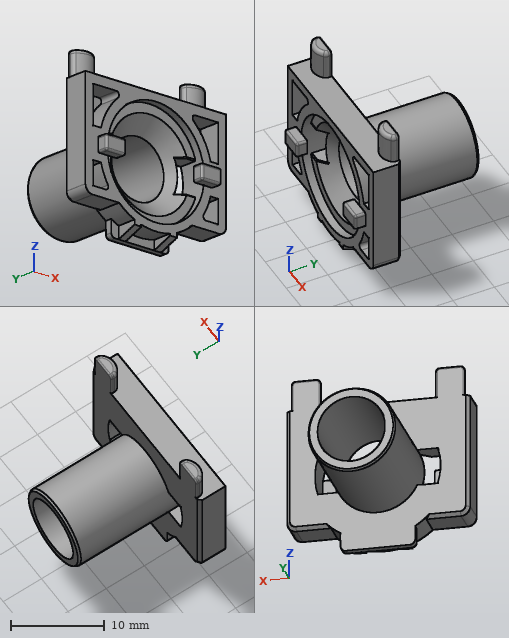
import cadquery as cq
import math


plate_width = 20.24
plate_thickness = 3.45
plate_top = 7.97
plate_bottom = -5.97
plate_corner_radius = 1.02
plate_back_chamfer = 0.4

tube_length = 12.07
tube_radius = 4.82
tube_end_chamfer_length = 0.28
tube_end_chamfer_depth = 0.18
bore_radius = 3.74
ring_radius = 7.97
recess_radius = 6.95
recess_depth = 1.02
funnel_radius = 5.77
funnel_depth = 1.9
window_height = 4.1
window_bevel = 0.15

pocket_outer_x = 8.98
pocket_depth = 2.85
pocket_inner_z = 2.0
upper_pocket_z = 6.77
lower_pocket_z = -4.94
pocket_corner_radius = 0.4
pocket_arc_radius = 8.13

post_top = 11.4
post_width = 3.2
post_depth = 1.5
post_front_radius = 1.93
post_side_radius = 0.81
post_center_x = 7.97
post_top_edge_radius = 0.49
post_back_edge_radius = 0.18

pin_center_x = 6.87
pin_width = 2.85
pin_height = 1.93
pin_length = 1.32
pin_edge_radius = 0.26

tab_width = 8.25
tab_bottom = -8.92
tab_thickness = 0.87
tab_corner_radius = 0.55
rib_width = 1.0
rib_center_x = 2.56
rib_front_bottom = -7.92

plate_front = -plate_thickness
recess_floor = plate_front + recess_depth
sides = (-1, 1)


def box(x_range, y_range, z_range):
    """Box spanning the given (low, high) ranges."""
    lows, highs = zip(x_range, y_range, z_range)
    size = [high - low for low, high in zip(lows, highs)]
    return cq.Workplane("XY").box(*size, centered=False).translate(lows)


def disc(radius, y_start, y_end):
    """Cylinder on the bore axis between two Y positions."""
    return cq.Workplane("XZ", origin=(0, y_start, 0)).circle(radius).extrude(y_start - y_end)


def make_plate():
    half_width = plate_width / 2
    plate = box((-half_width, half_width), (plate_front, 0), (plate_bottom, plate_top))
    plate = plate.edges("|Y and <Z").fillet(plate_corner_radius)
    plate = plate.faces(">Y").edges("not >Z").chamfer(plate_back_chamfer)
    return plate.union(disc(ring_radius, plate_front, 0))


def make_tube():
    tube = disc(tube_radius, plate_front, tube_length)
    return tube.faces(">Y").chamfer(tube_end_chamfer_length, tube_end_chamfer_depth)


def make_tab():
    half_width = tab_width / 2
    tab = box((-half_width, half_width), (-tab_thickness, 0), (tab_bottom, plate_bottom))
    tab = tab.edges("|Y and <Z").fillet(tab_corner_radius)
    rib_profile = [
        (0, plate_bottom),
        (plate_front, plate_bottom),
        (plate_front, rib_front_bottom),
        (-tab_thickness, tab_bottom),
        (0, tab_bottom),
    ]
    rib = cq.Workplane("YZ").polyline(rib_profile).close().extrude(rib_width / 2, both=True)
    for side in sides:
        tab = tab.union(rib.translate((side * rib_center_x, 0, 0)))
    return tab.cut(disc(recess_radius, plate_front, 0))


def make_post(side):
    half_width = post_width / 2
    arc_center_y = post_front_radius - post_depth
    arc_end_y = arc_center_y - math.sqrt(post_front_radius**2 - half_width**2)
    post = (
        cq.Workplane("XY", origin=(side * post_center_x, 0, plate_top))
        .moveTo(-half_width, 0)
        .lineTo(-half_width, arc_end_y)
        .threePointArc((0, -post_depth), (half_width, arc_end_y))
        .lineTo(half_width, 0)
        .close()
        .extrude(post_top - plate_top)
    )
    post = post.edges("|Z and (not >Y)").fillet(post_side_radius)
    post = post.faces(">Z").edges("not >Y").fillet(post_top_edge_radius)
    return post.faces(">Y").edges("not <Z").fillet(post_back_edge_radius)


def make_pin(side):
    pin = cq.Workplane("XY").box(pin_width, pin_length, pin_height)
    pin = pin.edges("|Y or <Y").fillet(pin_edge_radius)
    return pin.translate((side * pin_center_x, plate_front - pin_length / 2, 0))


def make_pocket(side, far_z):
    """Blind pocket between the plate edge and the ring."""
    low_z, high_z = sorted((far_z, math.copysign(pocket_inner_z, far_z)))
    x_range = sorted((0, side * pocket_outer_x))
    floor = plate_front + pocket_depth
    pocket = box(x_range, (plate_front, floor), (low_z, high_z))
    pocket = pocket.cut(disc(pocket_arc_radius, plate_front, floor))
    corner_x = side * math.sqrt(pocket_arc_radius**2 - far_z**2)
    corner = cq.selectors.NearestToPointSelector((corner_x, plate_front + pocket_depth / 2, far_z))
    return pocket.edges("|Y").edges(corner).fillet(pocket_corner_radius)


def make_funnel():
    return (
        cq.Workplane("XY")
        .moveTo(0, recess_floor)
        .lineTo(funnel_radius, recess_floor)
        .lineTo(bore_radius, recess_floor + funnel_depth)
        .lineTo(0, recess_floor + funnel_depth)
        .close()
        .revolve(360, (0, 0, 0), (0, 1, 0))
    )


def make_windows():
    """Openings through the plate beside the tube, with a bevel along their front rims."""
    rim_z = window_height / 2 + window_bevel
    outer_x = recess_radius + window_bevel
    funnel_front_x = math.sqrt(funnel_radius**2 - rim_z**2)
    funnel_back_x = math.sqrt(bore_radius**2 - rim_z**2)
    rim_profile = [
        (0, plate_front),
        (outer_x, plate_front),
        (outer_x, recess_floor),
        (funnel_front_x, recess_floor),
        (funnel_back_x, recess_floor + funnel_depth),
        (0, recess_floor + funnel_depth),
    ]
    wedge = cq.Workplane("XY").polyline(rim_profile).close().extrude(-window_bevel, taper=-45)
    wedge = wedge.translate((0, 0, rim_z))
    wedges = wedge.union(wedge.mirror("YZ"))
    wedges = wedges.union(wedges.mirror("XY"))
    half_height = window_height / 2
    band = box((-plate_width, plate_width), (plate_front, 0), (-half_height, half_height))
    rings = disc(recess_radius, plate_front, 0).cut(disc(tube_radius, plate_front, 0))
    return rings.intersect(band.union(wedges))


result = make_plate().union(make_tube()).union(make_tab())
result = result.cut(disc(recess_radius, plate_front, recess_floor))
result = result.cut(disc(bore_radius, plate_front, tube_length))
result = result.cut(make_funnel())
result = result.cut(make_windows())
for side in sides:
    result = result.cut(make_pocket(side, upper_pocket_z))
    result = result.cut(make_pocket(side, lower_pocket_z))
    result = result.union(make_post(side))
    result = result.union(make_pin(side))